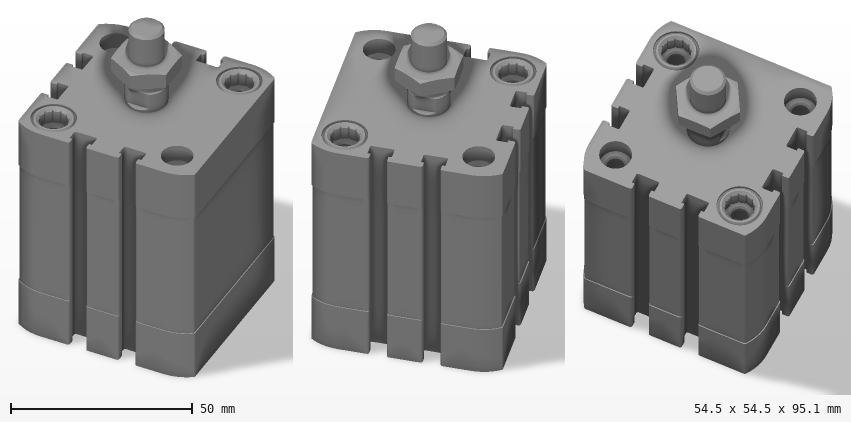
import cadquery as cq
import math

housing_side = 54.5
housing_height = 70.0
cap_height = 15.0
barrel_inset = 0.3
corner_start = 19.0
corner_curve_radius = 14.0
corner_edge_radius = 0.8

slot_offset = 7.6
slot_mouth_width = 5.1
slot_pocket_width = 6.9
slot_lip_depth = 2.1
slot_depth = 5.4
slot_lip_radius = 0.6
slot_floor_radius = 0.5
slot_turns = (0, 90, 180)

hole_offset = 19.0
through_diameter = 4.9
countersink_diameter = 6.0
countersink_depth = (countersink_diameter - through_diameter) / 2
counterbore_diameter = 9.0
counterbore_depth = 5.0
plain_corners = ((-hole_offset, hole_offset), (hole_offset, -hole_offset))
splined_corners = ((-hole_offset, -hole_offset), (hole_offset, hole_offset))

groove_outer_diameter = 12.8
groove_inner_diameter = 11.9
groove_crest_diameter = 11.0
groove_depth = 0.8
socket_mouth_diameter = 10.0
socket_diameter = 8.2
socket_depth = 4.8
spline_count = 12
spline_pitch = 360 / spline_count
spline_root_radius = 4.5
spline_width = 0.8

rod_diameter = 12.0
rod_shoulder_height = 6.1
rod_tip_height = 95.1
flat_spacing = 10.0
flat_bottom = 1.2
flat_runout = 0.6
undercut_diameter = 8.2
undercut_foot_diameter = 9.4
undercut_bottom = 0.6
undercut_top = 1.5
runout_middle_diameter = 8.9
runout_middle_height = 2.7
runout_height = 3.7
thread_diameter = 10.0
tip_diameter = 8.5
tip_chamfer = 0.8

nut_across_flats = 17.0
nut_bottom = 80.1
nut_thickness = 5.0
nut_chamfer_diameter = 16.8
nut_chamfer_angle = 15


def housing_outline(inset):
    """Square with long rounded corners, shrunk by inset on every side."""
    half = housing_side / 2 - inset
    radius = corner_curve_radius - inset
    reach = half - corner_start

    def drop(run):
        return radius - math.sqrt(radius**2 - run**2)

    top = half - drop(reach)
    middle = (corner_start + reach / 2, half - drop(reach / 2))
    return (
        cq.Workplane("XY")
        .moveTo(-corner_start, half)
        .lineTo(corner_start, half)
        .threePointArc(middle, (half, top))
        .lineTo(half, -top)
        .threePointArc((middle[0], -middle[1]), (corner_start, -half))
        .lineTo(-corner_start, -half)
        .threePointArc((-middle[0], -middle[1]), (-half, -top))
        .lineTo(-half, top)
        .threePointArc((-middle[0], middle[1]), (-corner_start, half))
        .close()
    )


def slot_cutter(center, inset, height):
    """One T-slot opening on the +Y face, with a rounded mouth and rounded floor corners."""
    face = housing_side / 2 - inset
    floor = housing_side / 2 - slot_depth
    shoulder = housing_side / 2 - slot_lip_depth
    mouth = slot_mouth_width / 2
    flare = mouth + slot_lip_radius
    arc_inset = slot_lip_radius * (1 - math.sqrt(0.5))
    bend = mouth + arc_inset
    bend_y = face - arc_inset
    neck = (
        cq.Workplane("XY")
        .moveTo(center - flare, face)
        .threePointArc((center - bend, bend_y), (center - mouth, face - slot_lip_radius))
        .lineTo(center - mouth, floor + slot_floor_radius)
        .lineTo(center + mouth, floor + slot_floor_radius)
        .lineTo(center + mouth, face - slot_lip_radius)
        .threePointArc((center + bend, bend_y), (center + flare, face))
        .close()
        .extrude(height)
    )
    pocket = (
        cq.Workplane("XY")
        .center(center, (floor + shoulder) / 2)
        .rect(slot_pocket_width, shoulder - floor)
        .extrude(height)
        .edges("|Z and <Y")
        .fillet(slot_floor_radius)
    )
    return neck.union(pocket)


def housing_section(inset, bottom, height):
    """One slotted length of the housing."""
    section = housing_outline(inset).extrude(height)
    section = section.edges("|Z and (>X or <X)").fillet(corner_edge_radius)
    for angle in slot_turns:
        for center in (-slot_offset, slot_offset):
            slot = slot_cutter(center, inset, height)
            section = section.cut(slot.rotate((0, 0, 0), (0, 0, 1), angle))
    return section.translate((0, 0, bottom))


def revolved(points):
    """Solid of revolution about Z from (radius, height) points."""
    return cq.Workplane("XZ").polyline(points).close().revolve(360, (0, 0, 0), (0, 1, 0))


def hole_cutter(bore_diameter, bore_depth):
    """Through hole with a countersink at the floor of a wider bore."""
    floor = housing_height - bore_depth
    return revolved([
        (0, 0),
        (through_diameter / 2, 0),
        (through_diameter / 2, floor - countersink_depth),
        (countersink_diameter / 2, floor),
        (bore_diameter / 2, floor),
        (bore_diameter / 2, housing_height),
        (0, housing_height),
    ])


def splined_socket_cutter():
    """Splined bore with a conical mouth over a through hole."""
    mouth_depth = (socket_mouth_diameter - socket_diameter) / 2
    cutter = hole_cutter(socket_diameter, socket_depth)
    mouth = revolved([
        (0, housing_height - mouth_depth),
        (socket_diameter / 2, housing_height - mouth_depth),
        (socket_mouth_diameter / 2, housing_height),
        (0, housing_height),
    ])
    spline_profile = [
        (0, -spline_width / 2),
        (socket_diameter / 2, -spline_width / 2),
        (spline_root_radius, 0),
        (socket_diameter / 2, spline_width / 2),
        (0, spline_width / 2),
    ]
    spline = (
        cq.Workplane("XY", origin=(0, 0, housing_height - socket_depth))
        .polyline(spline_profile)
        .close()
        .extrude(socket_depth)
    )
    cutter = cutter.union(mouth)
    for index in range(spline_count):
        cutter = cutter.union(spline.rotate((0, 0, 0), (0, 0, 1), index * spline_pitch))
    return cutter


def ring_groove_cutter():
    """Shallow ring groove around a splined socket, sloping on its inner side."""
    return revolved([
        (groove_crest_diameter / 2, housing_height),
        (groove_inner_diameter / 2, housing_height - groove_depth),
        (groove_outer_diameter / 2, housing_height - groove_depth),
        (groove_outer_diameter / 2, housing_height),
    ])


def make_housing():
    """Barrel between two slightly larger end caps, with slots and corner holes."""
    barrel_height = housing_height - 2 * cap_height
    body = housing_section(0, 0, cap_height)
    body = body.union(housing_section(barrel_inset, cap_height, barrel_height))
    body = body.union(housing_section(0, housing_height - cap_height, cap_height))
    for x, y in plain_corners:
        body = body.cut(hole_cutter(counterbore_diameter, counterbore_depth).translate((x, y, 0)))
    for x, y in splined_corners:
        body = body.cut(splined_socket_cutter().translate((x, y, 0)))
        body = body.cut(ring_groove_cutter().translate((x, y, 0)))
    return body


def make_rod():
    """Rod standing on the housing: flatted shoulder, undercut and chamfered thread."""
    shoulder = housing_height + rod_shoulder_height
    rod = (
        cq.Workplane("XZ")
        .moveTo(0, housing_height)
        .lineTo(rod_diameter / 2, housing_height)
        .lineTo(rod_diameter / 2, shoulder)
        .lineTo(undercut_foot_diameter / 2, shoulder)
        .lineTo(undercut_diameter / 2, shoulder + undercut_bottom)
        .lineTo(undercut_diameter / 2, shoulder + undercut_top)
        .threePointArc((runout_middle_diameter / 2, shoulder + runout_middle_height),
                       (thread_diameter / 2, shoulder + runout_height))
        .lineTo(thread_diameter / 2, rod_tip_height - tip_chamfer)
        .lineTo(tip_diameter / 2, rod_tip_height)
        .lineTo(0, rod_tip_height)
        .close()
        .revolve(360, (0, 0, 0), (0, 1, 0))
    )
    flat_start = housing_height + flat_bottom
    flat_profile = [
        (flat_spacing / 2, shoulder),
        (flat_spacing / 2, flat_start),
        (rod_diameter / 2, flat_start - flat_runout),
        (rod_diameter / 2, shoulder),
    ]
    flat = cq.Workplane("YZ").polyline(flat_profile).close().extrude(rod_diameter / 2, both=True)
    return rod.cut(flat).cut(flat.mirror("XZ"))


def make_nut():
    """Hexagon nut with corners pointing along Y and chamfered at both ends."""
    corner_radius = nut_across_flats / math.sqrt(3)
    chamfer_drop = (corner_radius - nut_chamfer_diameter / 2) * math.tan(math.radians(nut_chamfer_angle))
    nut_top = nut_bottom + nut_thickness
    hexagon = (
        cq.Workplane("XY", origin=(0, 0, nut_bottom))
        .polygon(6, 2 * corner_radius)
        .extrude(nut_thickness)
        .rotate((0, 0, 0), (0, 0, 1), 90)
    )
    envelope = revolved([
        (thread_diameter / 2, nut_bottom),
        (nut_chamfer_diameter / 2, nut_bottom),
        (corner_radius, nut_bottom + chamfer_drop),
        (corner_radius, nut_top - chamfer_drop),
        (nut_chamfer_diameter / 2, nut_top),
        (thread_diameter / 2, nut_top),
    ])
    return hexagon.intersect(envelope)


housing = make_housing()
rod = make_rod()
nut = make_nut()
result = cq.Compound.makeCompound([housing.val(), rod.val(), nut.val()])